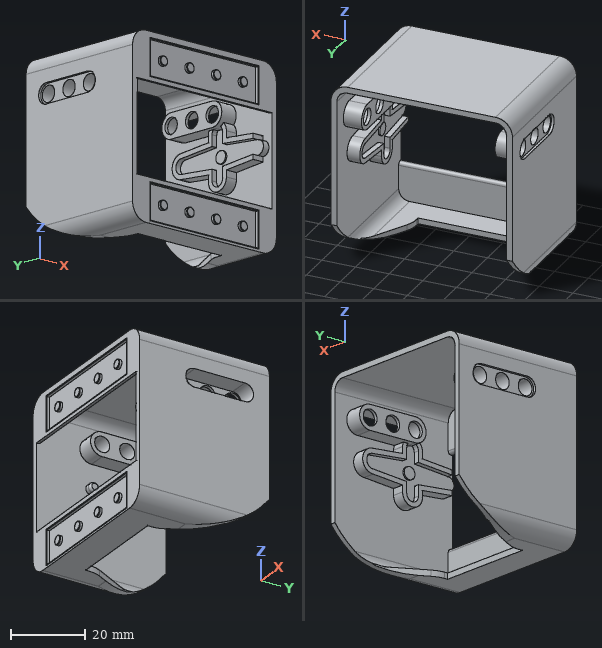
import cadquery as cq
import math

SIZE = 54.0
DEPTH = 41.5
CORNER_RADIUS = 5.0
WALL = 1.8
INNER = SIZE / 2 - WALL
FRONT_THICKNESS = 1.5

REAR_ARC_RADIUS = 30.0
REAR_ARC_RISE = 11.65

OPENING_FRONT_Y = 9.7
OPENING_HALF_WIDTH = 15.65
OPENING_BEND_Y = 10.8
OPENING_BEND_RADIUS = 8.5
OPENING_FLARE_ANGLE = 28.0
OPENING_REAR_HALF_WIDTH = 23.85

FRONT_CENTER_Z = -0.5
WINDOW_HEIGHT = 27.0
WINDOW_FILLET = 0.95
PANEL_WIDTH = 40.35
PANEL_HEIGHT = 10.5
PANEL_OFFSET = 20.25
PANEL_DEPTH = 1.0
PANEL_STEP_WIDTH = 0.2
PANEL_STEP_DEPTH = 0.15

PIN_DIAMETER = 2.8
PIN_HEIGHT = 0.85
PIN_CHAMFER = 0.15
PIN_PITCH = 10.0
PINS_PER_PANEL = 4

LEFT_SLOT_DIAMETER = 6.0
LEFT_SLOT_DEPTH = 0.8
RIGHT_SLOT_DIAMETER = 5.6
RIGHT_SLOT_FLOOR = 1.0
SLOT_CENTER_Y = 25.6
SLOT_CENTER_Z = 15.05
HOLE_PITCH = 8.0
HOLE_DIAMETER = 4.8
HOLE_COUNT = 3
HOUSING_DIAMETER = 7.45
HOUSING_HEIGHT = 5.4

AXIS_Y = 17.3
AXIS_Z = 3.5

HOLDER_HEIGHT = 3.8
HOLDER_RIM = 1.45
HORN_FLOOR = 2.05
LONG_ARM_REACH = 13.95
LONG_ARM_TIP_RADIUS = 2.2
LONG_ARM_ROOT_HALF = 3.35
SHORT_ARM_REACH = 6.5
SHORT_ARM_RADIUS = 2.05
HUB_DIAMETER = 3.8
HUB_HEIGHT = 0.5

PEG_DIAMETER = 3.0
PEG_STRAIGHT = 1.3
PEG_LENGTH = 2.25
PEG_TIP_DIAMETER = 2.0


def rounded_block(width, height, y_start, y_end, radius):
    block = cq.Workplane("XY").box(width, y_end - y_start, height)
    return block.edges("|Y").fillet(radius).translate((0, (y_start + y_end) / 2, 0))


def side_plane(x):
    """Sketch plane facing +X whose local axes are Y and Z."""
    return cq.Workplane("YZ", origin=(x, 0, 0))


def make_shell():
    shell = rounded_block(SIZE, SIZE, 0, DEPTH, CORNER_RADIUS)
    cavity = rounded_block(2 * INNER, 2 * INNER, FRONT_THICKNESS, DEPTH, CORNER_RADIUS - WALL)
    window = (
        cq.Workplane("XY")
        .box(2 * INNER, FRONT_THICKNESS, WINDOW_HEIGHT)
        .translate((0, FRONT_THICKNESS / 2, FRONT_CENTER_Z))
    )
    return shell.cut(cavity).cut(window).cut(window_rounding(1)).cut(window_rounding(-1))


def window_rounding(side):
    """Strip removed to round the inner edge above (+1) or below (-1) the window."""
    edge_z = FRONT_CENTER_Z + side * WINDOW_HEIGHT / 2
    start_y = FRONT_THICKNESS - WINDOW_FILLET
    bow = WINDOW_FILLET * math.sqrt(0.5)
    return (
        side_plane(-INNER)
        .moveTo(start_y, edge_z)
        .threePointArc(
            (start_y + bow, edge_z + side * (WINDOW_FILLET - bow)),
            (FRONT_THICKNESS, edge_z + side * WINDOW_FILLET),
        )
        .lineTo(FRONT_THICKNESS, edge_z)
        .close()
        .extrude(2 * INNER)
    )


def rear_corner():
    """Material below the arc that rounds off the lower rear edge."""
    bottom = -SIZE / 2
    sweep = math.acos(1 - REAR_ARC_RISE / REAR_ARC_RADIUS)
    tangent_y = DEPTH - REAR_ARC_RADIUS * math.sin(sweep)
    middle = (
        tangent_y + REAR_ARC_RADIUS * math.sin(sweep / 2),
        bottom + REAR_ARC_RADIUS * (1 - math.cos(sweep / 2)),
    )
    return (
        side_plane(-SIZE / 2)
        .moveTo(tangent_y, bottom)
        .threePointArc(middle, (DEPTH, bottom + REAR_ARC_RISE))
        .lineTo(DEPTH, bottom)
        .close()
        .extrude(SIZE)
    )


def floor_opening():
    """Opening through the floor, mirrored about the middle of the width."""
    flare = math.radians(OPENING_FLARE_ANGLE)

    def bend_point(angle):
        x = OPENING_HALF_WIDTH + OPENING_BEND_RADIUS * (1 - math.cos(angle))
        return x, OPENING_BEND_Y + OPENING_BEND_RADIUS * math.sin(angle)

    bend_x, bend_y = bend_point(flare)
    flare_end_y = bend_y + (OPENING_REAR_HALF_WIDTH - bend_x) / math.tan(flare)
    return (
        cq.Workplane("XY", origin=(0, 0, -SIZE / 2))
        .moveTo(0, OPENING_FRONT_Y)
        .lineTo(OPENING_HALF_WIDTH, OPENING_FRONT_Y)
        .lineTo(OPENING_HALF_WIDTH, OPENING_BEND_Y)
        .threePointArc(bend_point(flare / 2), (bend_x, bend_y))
        .lineTo(OPENING_REAR_HALF_WIDTH, flare_end_y)
        .lineTo(OPENING_REAR_HALF_WIDTH, DEPTH)
        .lineTo(0, DEPTH)
        .mirrorY()
        .extrude(CORNER_RADIUS)
    )


def panel_pocket(center_z):
    """Recess with a narrow shallow step around its mouth."""
    plane = cq.Workplane("XZ", origin=(0, 0, center_z))
    recess = plane.rect(PANEL_WIDTH, PANEL_HEIGHT).extrude(-PANEL_DEPTH)
    mouth = plane.rect(
        PANEL_WIDTH + 2 * PANEL_STEP_WIDTH, PANEL_HEIGHT + 2 * PANEL_STEP_WIDTH
    ).extrude(-PANEL_STEP_DEPTH)
    return recess.union(mouth)


def panel_pins(center_z):
    return (
        cq.Workplane("XZ", origin=(0, PANEL_DEPTH, center_z))
        .rarray(PIN_PITCH, 0.55, PINS_PER_PANEL, 1)
        .circle(PIN_DIAMETER / 2)
        .extrude(PIN_HEIGHT)
        .faces("<Y")
        .chamfer(PIN_CHAMFER)
    )


def slot_body(diameter, x_start, x_end):
    length = (HOLE_COUNT - 1) * HOLE_PITCH + diameter
    return (
        side_plane(x_start)
        .center(SLOT_CENTER_Y, SLOT_CENTER_Z)
        .slot2D(length, diameter)
        .extrude(x_end - x_start)
    )


def slot_holes():
    return (
        side_plane(-SIZE / 2)
        .center(SLOT_CENTER_Y, SLOT_CENTER_Z)
        .rarray(HOLE_PITCH, 0.55, HOLE_COUNT, 1)
        .circle(HOLE_DIAMETER / 2)
        .extrude(SIZE)
    )


def horn_outline(margin, x_start, x_end):
    """Four-armed horn shape grown by a margin: two long tapered arms and two short straight ones."""
    tip = LONG_ARM_TIP_RADIUS + margin
    root = LONG_ARM_ROOT_HALF + margin
    short = SHORT_ARM_RADIUS + margin
    height = x_end - x_start
    plane = side_plane(x_start).center(AXIS_Y, AXIS_Z)
    long_arms = (
        plane.moveTo(0, root)
        .lineTo(LONG_ARM_REACH, tip)
        .threePointArc((LONG_ARM_REACH + tip, 0), (LONG_ARM_REACH, -tip))
        .lineTo(0, -root)
        .lineTo(-LONG_ARM_REACH, -tip)
        .threePointArc((-LONG_ARM_REACH - tip, 0), (-LONG_ARM_REACH, tip))
        .close()
        .extrude(height)
    )
    short_arms = plane.slot2D(2 * (SHORT_ARM_REACH + short), 2 * short, 90).extrude(height)
    return long_arms.union(short_arms)


def horn_holder():
    top = INNER - HOLDER_HEIGHT
    floor = INNER - HORN_FLOOR
    front_end = cq.Workplane("XY").box(SIZE, 2 * (AXIS_Y - LONG_ARM_REACH), SIZE)
    rim = horn_outline(HOLDER_RIM, top, INNER).cut(front_end)
    hub = side_plane(floor).center(AXIS_Y, AXIS_Z).circle(HUB_DIAMETER / 2).extrude(-HUB_HEIGHT)
    return rim.cut(horn_outline(0, top, floor)).union(horn_outline(0, floor, INNER)).union(hub)


def pivot_peg():
    radius = PEG_DIAMETER / 2
    return (
        cq.Workplane("XY", origin=(-INNER, AXIS_Y, AXIS_Z))
        .lineTo(0, radius)
        .lineTo(PEG_STRAIGHT, radius)
        .tangentArcPoint((PEG_LENGTH, PEG_TIP_DIAMETER / 2), relative=False)
        .lineTo(PEG_LENGTH, 0)
        .close()
        .revolve(360, (0, 0, 0), (1, 0, 0))
    )


result = make_shell().union(horn_holder()).union(pivot_peg())

housing_top = INNER - HOUSING_HEIGHT
result = result.union(slot_body(HOUSING_DIAMETER, -INNER, -housing_top))
result = result.union(slot_body(HOUSING_DIAMETER, housing_top, INNER))
result = result.cut(slot_body(LEFT_SLOT_DIAMETER, -SIZE / 2, -SIZE / 2 + LEFT_SLOT_DEPTH))
result = result.cut(slot_body(RIGHT_SLOT_DIAMETER, housing_top + RIGHT_SLOT_FLOOR, SIZE / 2))
result = result.cut(slot_holes()).cut(rear_corner()).cut(floor_opening())

for side in (-1, 1):
    panel_z = FRONT_CENTER_Z + side * PANEL_OFFSET
    result = result.cut(panel_pocket(panel_z)).union(panel_pins(panel_z))